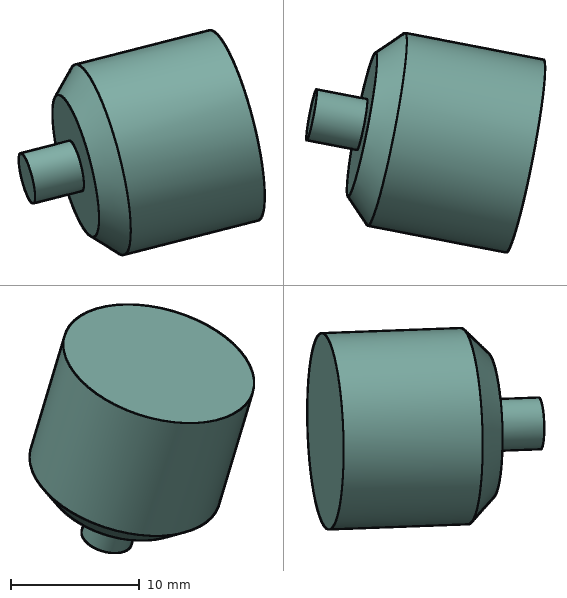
import cadquery as cq

body_diameter = 15.3
straight_length = 11.0
chamfer_size = 1.95
pin_diameter = 4.05
pin_length = 4.0

body_length = straight_length + chamfer_size


def make_body():
    """Cylinder from Y = 0 toward -Y, with its front rim chamfered at 45 degrees."""
    cylinder = cq.Workplane("XZ").circle(body_diameter / 2).extrude(body_length)
    return cylinder.faces("<Y").edges().chamfer(chamfer_size)


def make_pin():
    """Plain pin standing on the centre of the front face."""
    front_plane = cq.Workplane("XZ").workplane(offset=body_length)
    return front_plane.circle(pin_diameter / 2).extrude(pin_length)


result = make_body().union(make_pin())